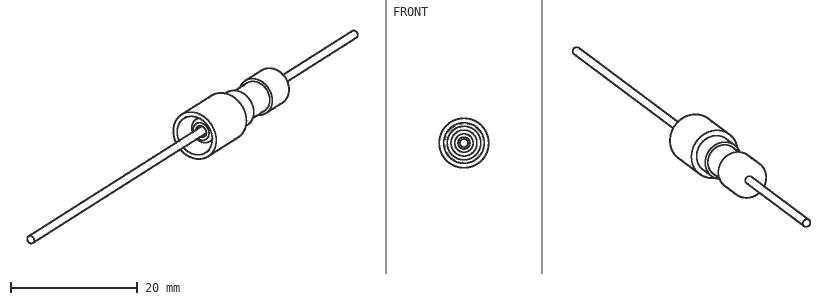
import cadquery as cq


wire_length = 101.6
wire_radius = 0.64
wire_below_mouth = 51.5

mouth_radius = 3.92
mouth_length = 9.5
barrel_radius = 3.05
barrel_end = 24.7
neck_radius = 2.6
neck_start = 13.3
neck_end = 19.1
tail_fillet = 0.45

socket_radius = 3.2
socket_floor_radius = 2.65
socket_chamfer = socket_radius - socket_floor_radius
socket_depth = mouth_length - socket_chamfer

boss_radius = 2.05
boss_tip_radius = 1.45
boss_tip_depth = 2.0
boss_chamfer = boss_radius - boss_tip_radius
clearance_radius = 0.95
clearance_end = neck_start

mouth_y = wire_below_mouth - wire_length / 2


def make_sleeve():
    """Revolve the sleeve wall: stepped outside, socket, boss and clearance hole."""
    profile = [
        (0, barrel_end),
        (barrel_radius, barrel_end),
        (barrel_radius, neck_end),
        (neck_radius, neck_end),
        (neck_radius, neck_start),
        (barrel_radius, neck_start),
        (barrel_radius, mouth_length),
        (mouth_radius, mouth_length),
        (mouth_radius, 0),
        (socket_radius, 0),
        (socket_radius, socket_depth - socket_chamfer),
        (socket_floor_radius, socket_depth),
        (boss_radius, socket_depth),
        (boss_radius, boss_tip_depth + boss_chamfer),
        (boss_tip_radius, boss_tip_depth),
        (clearance_radius, boss_tip_depth),
        (clearance_radius, clearance_end),
        (0, clearance_end),
    ]
    sleeve = cq.Workplane("XY").polyline(profile).close().revolve(360, (0, 0, 0), (0, 1, 0))
    sleeve = sleeve.faces(">Y").edges().fillet(tail_fillet)
    return sleeve.translate((0, mouth_y, 0))


def make_wire():
    """Round lead wire along Y, centred on the origin."""
    return cq.Workplane("XZ").circle(wire_radius).extrude(wire_length / 2, both=True)


result = make_sleeve().union(make_wire())